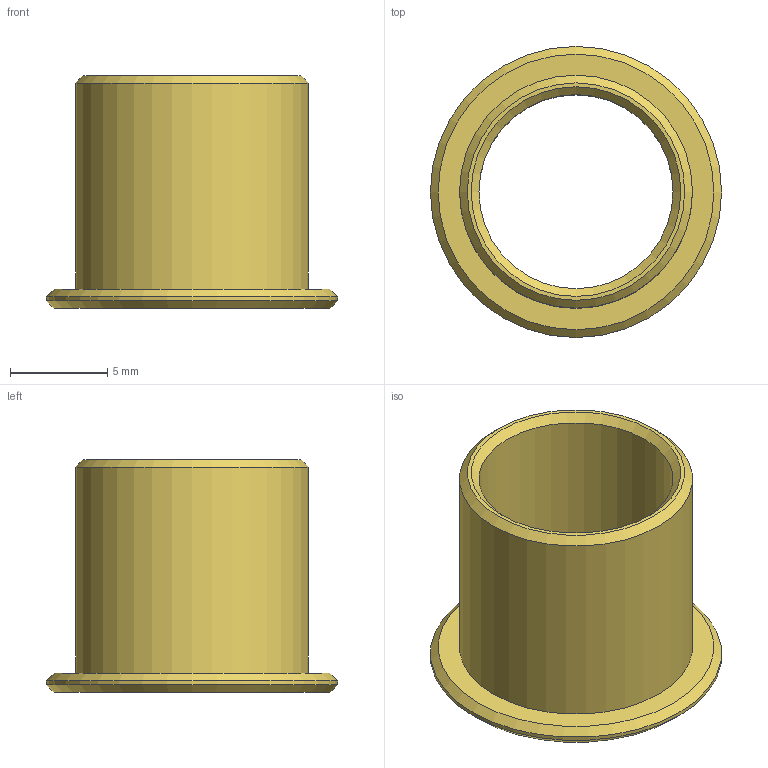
import cadquery as cq

bore_diameter = 10.0
sleeve_diameter = 12.0
flange_diameter = 15.0
overall_height = 12.0
flange_thickness = 1.0
chamfer = 0.4

bore_radius = bore_diameter / 2
sleeve_radius = sleeve_diameter / 2
flange_radius = flange_diameter / 2


def wall_section():
    """Half section of the bushing wall in the XZ plane: X is radius, Y is height."""
    return (
        cq.Workplane("XZ")
        .moveTo(bore_radius, 0)
        .lineTo(flange_radius - chamfer, 0)
        .lineTo(flange_radius, chamfer)
        .lineTo(flange_radius, flange_thickness - chamfer)
        .lineTo(flange_radius - chamfer, flange_thickness)
        .lineTo(sleeve_radius, flange_thickness)
        .lineTo(sleeve_radius, overall_height - chamfer)
        .lineTo(sleeve_radius - chamfer, overall_height)
        .lineTo(bore_radius + chamfer, overall_height)
        .lineTo(bore_radius, overall_height - chamfer)
        .close()
    )


result = wall_section().revolve(360, (0, 0, 0), (0, 1, 0))